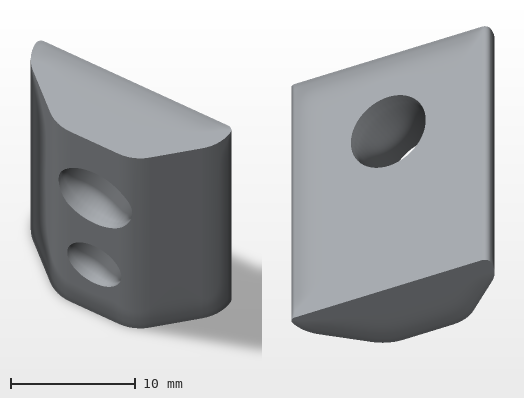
import cadquery as cq
import math

width = 18.0
depth = 6.8
length = 23.0

nose_flat_width = 4.5
flank_angle = math.radians(42)
nose_radius = 3.5
side_radius = 3.5
back_corner_radius = 0.5

through_diameter = 6.8
through_z = 15.5
blind_diameter = 5.0
blind_z = 6.5
blind_wall_depth = 5.0
blind_tip_angle = math.radians(150)


def make_profile():
    """Closed section in XY: flat nose, nose arcs, sloping flanks, side arcs and flat back."""
    half_width = width / 2
    half_flat = nose_flat_width / 2

    def nose_point(angle):
        return (
            half_flat + nose_radius * math.sin(angle),
            -depth + nose_radius * (1 - math.cos(angle)),
        )

    nose_middle = nose_point(flank_angle / 2)
    flank_start = nose_point(flank_angle)

    side_centre_x = half_width - side_radius
    flank_end_x = side_centre_x + side_radius * math.sin(flank_angle)
    flank_end_y = flank_start[1] + (flank_end_x - flank_start[0]) * math.tan(flank_angle)
    side_centre_y = flank_end_y + side_radius * math.cos(flank_angle)
    side_widest = (half_width, side_centre_y)
    back_corner_x = side_centre_x + math.sqrt(side_radius**2 - side_centre_y**2)

    half = (
        cq.Workplane("XY")
        .moveTo(0, -depth)
        .lineTo(half_flat, -depth)
        .threePointArc(nose_middle, flank_start)
        .lineTo(flank_end_x, flank_end_y)
        .threePointArc(side_widest, (back_corner_x, 0))
        .lineTo(0, 0)
    )
    return half.mirrorY()


def make_through_hole():
    """Cylinder through the full depth."""
    return (
        cq.Workplane("XZ", origin=(0, 0, through_z))
        .circle(through_diameter / 2)
        .extrude(depth)
    )


def make_blind_hole():
    """Blind drilled hole with a conical bottom, revolved about its Y axis."""
    radius = blind_diameter / 2
    wall_end_y = -depth + blind_wall_depth
    tip_y = wall_end_y + radius / math.tan(blind_tip_angle / 2)
    return (
        cq.Workplane("XY", origin=(0, 0, blind_z))
        .polyline([(0, -depth), (radius, -depth), (radius, wall_end_y), (0, tip_y)])
        .close()
        .revolve(360, (0, 0), (0, 1))
    )


def make_body():
    """Full-length bar with its two back edges rounded."""
    bar = make_profile().extrude(length)
    return bar.faces(">Y").edges("|Z").fillet(back_corner_radius)


body = make_body()
result = body.cut(make_through_hole()).cut(make_blind_hole())